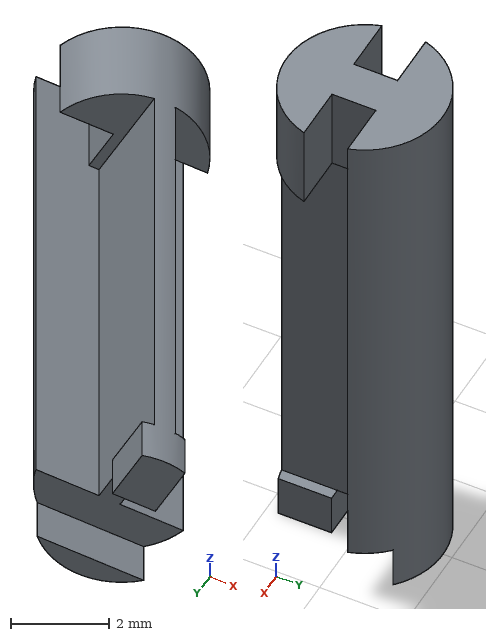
import cadquery as cq
import math

total_height = 12.7
diameter = 3.6
head_height = 2.0
foot_height = 1.0
slot_width = 1.0
neck_width = 0.97
web_thickness = 0.5
front_foot_width = 1.0
rear_foot_width = 2.5

radius = diameter / 2
slot_wall = slot_width / 2
head_base = total_height - head_height
shank_height = head_base - foot_height
rear_foot_face = math.sqrt(radius**2 - (rear_foot_width / 2) ** 2)


def block(width, y_start, y_end, z_base, height):
    """Block centred on X, placed by its Y range and its base."""
    return (
        cq.Workplane("XY", origin=(0, (y_start + y_end) / 2, z_base))
        .rect(width, y_end - y_start)
        .extrude(height)
    )


head = (
    block(diameter, -radius, -slot_wall, head_base, head_height)
    .union(block(neck_width, -slot_wall, slot_wall, head_base, head_height))
    .union(block(diameter, slot_wall, radius, head_base, head_height))
)

rear_rail = block(diameter, slot_wall, radius, foot_height, shank_height)
web = block(web_thickness, -radius, slot_wall, foot_height, shank_height)

front_foot = block(front_foot_width, -radius, -slot_wall, 0, foot_height)
rear_foot = block(diameter, rear_foot_face, radius, 0, foot_height)

envelope = cq.Workplane("XY").circle(radius).extrude(total_height)
result = (
    head.union(rear_rail)
    .union(web)
    .union(front_foot)
    .union(rear_foot)
    .intersect(envelope)
)